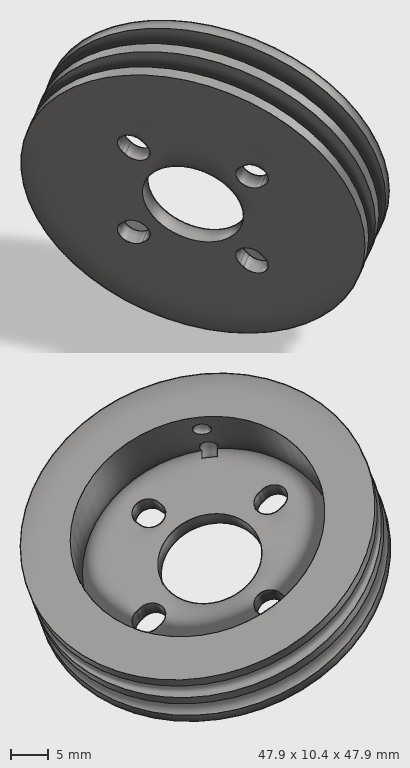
import cadquery as cq

outer_diameter = 47.85
groove_floor_diameter = 38.0
flange_width = 1.55
groove_width = 2.85
groove_count = 2
width = (groove_count + 1) * flange_width + groove_count * groove_width
front_y = -width / 2

web_thickness = 2.35
recess_diameter = 34.35
bore_diameter = 14.0

slot_count = 4
slot_center_radius = 11.65
slot_width = 4.0
slot_length = 4.75
first_slot_angle = 45.0

radial_hole_diameter = 2.5


def disc(diameter, start_y, length):
    """Solid cylinder on the Y axis, extending toward +Y from start_y."""
    face = cq.Workplane("XZ", origin=(0, start_y, 0)).circle(diameter / 2)
    return face.extrude(-length)


def mounting_slots():
    """Radial slots that pass through the front web."""
    slots = (
        cq.Workplane("XZ", origin=(0, front_y, 0))
        .polarArray(slot_center_radius, first_slot_angle, 360, slot_count)
        .slot2D(slot_length, slot_width)
    )
    return slots.extrude(-web_thickness)


def radial_hole(y):
    """Cutter from the groove floor to just inside the recess wall."""
    hole_bottom = recess_diameter / 2 - radial_hole_diameter / 2
    hole_depth = groove_floor_diameter / 2 - hole_bottom
    return (
        cq.Workplane("XY", origin=(0, y, hole_bottom))
        .circle(radial_hole_diameter / 2)
        .extrude(hole_depth)
    )


groove_pitch = flange_width + groove_width
result = disc(groove_floor_diameter, front_y, width)
for index in range(groove_count + 1):
    result = result.union(disc(outer_diameter, front_y + index * groove_pitch, flange_width))

result = result.cut(disc(recess_diameter, front_y + web_thickness, width - web_thickness))
result = result.cut(disc(bore_diameter, front_y, width))
result = result.cut(mounting_slots())

for index in range(groove_count):
    groove_middle = front_y + flange_width + groove_width / 2 + index * groove_pitch
    result = result.cut(radial_hole(groove_middle))